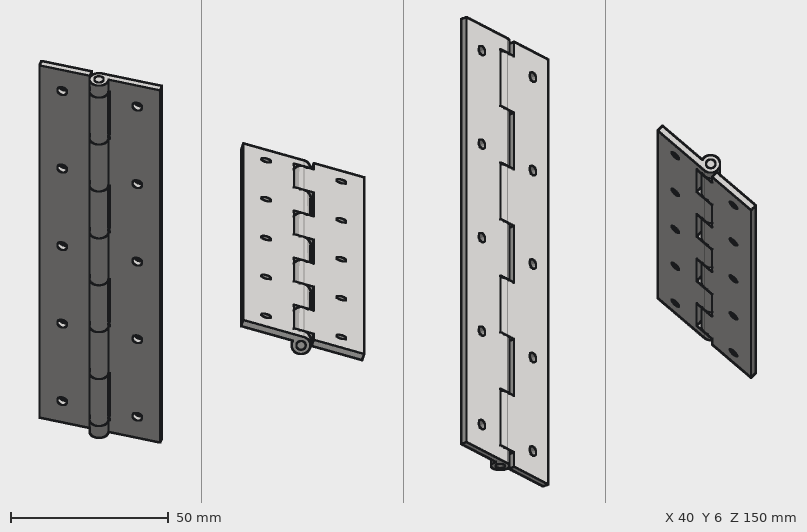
import cadquery as cq

height = 150.0
width = 40.0
leaf_thickness = 2.2

barrel_diameter = 6.0
pin_diameter = 3.0
barrel_radius = barrel_diameter / 2
back_y = barrel_radius
leaf_edge_x = 3.3

end_knuckle_length = 5.1
middle_knuckle_count = 7
middle_knuckle_length = (height - 2 * end_knuckle_length) / middle_knuckle_count
knuckle_lengths = (
    [end_knuckle_length] + [middle_knuckle_length] * middle_knuckle_count + [end_knuckle_length]
)
knuckle_bottoms = [-height / 2 + sum(knuckle_lengths[:i]) for i in range(len(knuckle_lengths))]
knuckle_spans = list(zip(knuckle_bottoms, knuckle_lengths))

hole_diameter = 3.2
hole_count = 5
hole_pitch = 33.0
hole_x = 12.5


def plate(x_start, x_end, bottom, length):
    """Flat plate with its back face on the common back plane."""
    return cq.Workplane("XY").box(
        x_end - x_start, leaf_thickness, length, centered=False
    ).translate((x_start, back_y - leaf_thickness, bottom))


def knuckle(bottom, length):
    """Solid barrel section with a flat arm joining it to a leaf on the +X side."""
    barrel = cq.Workplane("XY").workplane(offset=bottom).circle(barrel_radius).extrude(length)
    arm = plate(0, leaf_edge_x, bottom, length)
    return barrel.union(arm)


def screw_holes():
    """Column of cylinders running through the leaf along Y."""
    return (
        cq.Workplane("XZ", origin=(hole_x, back_y, 0))
        .rarray(1.5, hole_pitch, 1, hole_count)
        .circle(hole_diameter / 2)
        .extrude(leaf_thickness)
    )


def pin_cylinder():
    """Full-height cylinder on the hinge axis."""
    return cq.Workplane("XY").workplane(offset=-height / 2).circle(pin_diameter / 2).extrude(height)


def make_leaf(spans):
    """Leaf on the +X side carrying knuckles at the given (bottom, length) spans."""
    leaf = plate(leaf_edge_x, width / 2, -height / 2, height)
    for bottom, length in spans:
        leaf = leaf.union(knuckle(bottom, length))
    return leaf.cut(pin_cylinder()).cut(screw_holes())


right_leaf = make_leaf(knuckle_spans[0::2])
left_leaf = make_leaf(knuckle_spans[1::2]).mirror("YZ")
pin = pin_cylinder()

result = cq.Compound.makeCompound([right_leaf.val(), left_leaf.val(), pin.val()])